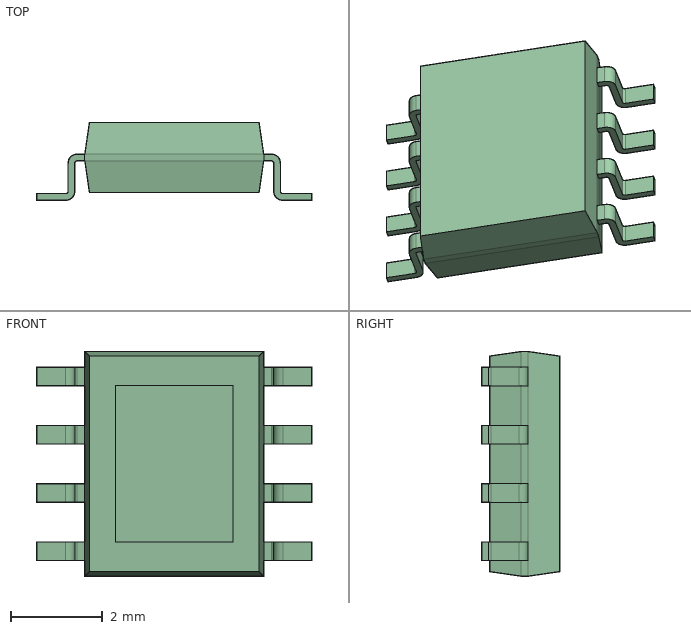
import cadquery as cq

body_width = 3.9
body_length = 4.9
overall_height = 1.7
standoff = 0.17
taper_inset = 0.1

lead_count_per_side = 4
lead_pitch = 1.27
lead_width = 0.41
lead_thickness = 0.15
lead_span = 6.0
foot_length = 0.835
inner_bend_radius = 0.05
outer_bend_radius = inner_bend_radius + lead_thickness

pad_width = 2.57
pad_length = 3.41
pad_thickness = lead_thickness

body_height = overall_height - standoff
half_height = (body_height - lead_thickness) / 2
band_bottom = standoff + half_height
band_top = band_bottom + lead_thickness


def section_plane(y):
    """Plane at height y whose normal points along +Y, away from the board."""
    return cq.Plane(origin=(0, y, 0), xDir=(1, 0, 0), normal=(0, 1, 0))


def slab(y, width, length, thickness):
    """Rectangular block that rises from height y."""
    return cq.Workplane(section_plane(y)).rect(width, length).extrude(thickness)


def tapered_half(outer_y, band_y):
    """Half of the package, widening from its flat outer face to the parting band."""
    return (
        cq.Workplane(section_plane(outer_y))
        .rect(body_width - 2 * taper_inset, body_length - 2 * taper_inset)
        .workplane(offset=band_y - outer_y)
        .rect(body_width, body_length)
        .loft(ruled=True)
    )


def make_pad():
    return slab(standoff, pad_width, pad_length, pad_thickness)


def make_body():
    """Package with a recess that holds the thermal pad."""
    band = slab(band_bottom, body_width, body_length, lead_thickness)
    lower_half = tapered_half(standoff, band_bottom)
    upper_half = tapered_half(overall_height, band_top)
    return band.union(lower_half).union(upper_half).cut(make_pad())


def make_lead(z):
    """Lead on the +X side, centred at z: a shoulder, a vertical leg and an outward foot."""
    root_x = body_width / 2
    toe_x = lead_span / 2
    leg_inner_x = toe_x - foot_length
    leg_outer_x = leg_inner_x + lead_thickness
    bare_lead = (
        cq.Workplane("XY", origin=(0, 0, z))
        .moveTo(root_x, band_bottom)
        .lineTo(leg_inner_x, band_bottom)
        .lineTo(leg_inner_x, 0)
        .lineTo(toe_x, 0)
        .lineTo(toe_x, lead_thickness)
        .lineTo(leg_outer_x, lead_thickness)
        .lineTo(leg_outer_x, band_top)
        .lineTo(root_x, band_top)
        .close()
        .extrude(lead_width / 2, both=True)
    )

    def bend_edge(x, y):
        return cq.selectors.NearestToPointSelector((x, y, z))

    return (
        bare_lead.edges(bend_edge(leg_inner_x, band_bottom)).fillet(inner_bend_radius)
        .edges(bend_edge(leg_outer_x, lead_thickness)).fillet(inner_bend_radius)
        .edges(bend_edge(leg_outer_x, band_top)).fillet(outer_bend_radius)
        .edges(bend_edge(leg_inner_x, 0)).fillet(outer_bend_radius)
    )


def make_leads():
    """One row of leads along each long side of the package."""
    leads = []
    for position in range(lead_count_per_side):
        z = (position - (lead_count_per_side - 1) / 2) * lead_pitch
        right_lead = make_lead(z)
        left_lead = right_lead.mirror("YZ")
        leads.extend([right_lead.val(), left_lead.val()])
    return leads


body = make_body()
pad = make_pad()
result = cq.Compound.makeCompound([body.val(), pad.val(), *make_leads()])